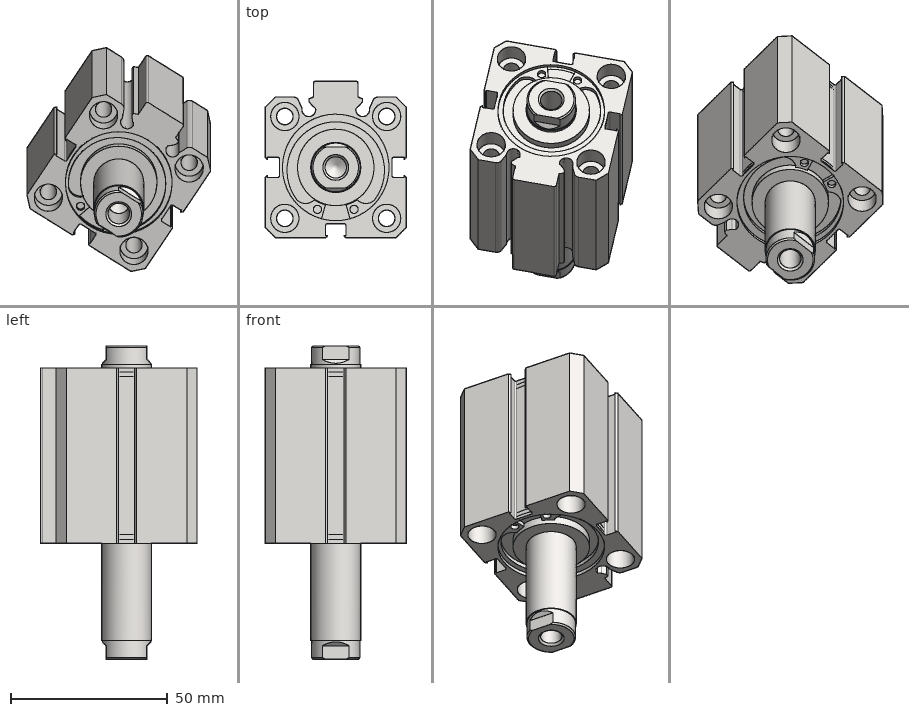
import cadquery as cq
import math


BODY_SIZE = 45.0
BODY_HALF = BODY_SIZE / 2
BODY_HEIGHT = 56.0
CORNER_CHAMFER = 3.3

MOUNT_OFFSET = 16.25
MOUNT_HOLE_DIAMETER = 5.2
COUNTERBORE_DIAMETER = 9.0
COUNTERBORE_DEPTH = 7.0

SLOT_HALF_WIDTH = 3.2
SLOT_MOUTH_HALF_WIDTH = 2.6
SLOT_FLOOR = 18.0
SLOT_LIP_LAND = 0.1
SLOT_CORNER_RADIUS = 0.5

RAIL_HALF_WIDTH = 7.1
RAIL_TOP = 27.5
RAIL_CORNER_RADIUS = 0.6
RAIL_FLANGE_HALF_WIDTH = 8.6
RAIL_FLANGE_TIP_LOW = 21.0
RAIL_FLANGE_TIP_HIGH = 21.9
RAIL_NECK_X = 7.4
RAIL_NECK_Y = 19.6

UNDERCUT_X = 8.6
UNDERCUT_Y = 18.4
UNDERCUT_RADIUS = 2.15
UNDERCUT_RAIL_ANGLE = 12.0
SHOULDER_X = 13.7
SHOULDER_ROUND_X = 12.0
SHOULDER_ROUND_Y = 21.7
SHOULDER_ROUND_RADIUS = 2.0
SHOULDER_FOOT_Y = 18.8

RECESS_RADIUS = 17.0
RECESS_DEPTH = 10.0
COLLAR_BOSS_RADIUS = 12.2
RING_DEPTH = 1.3
RING_THICKNESS = 1.5
RING_OUTER_RADIUS = 17.85
RING_INNER_RADIUS = 15.55
RING_INNER_SHIFT = 1.0
RING_GAP_HALF_ANGLE = 15.5
LUG_INNER_RADIUS = 12.4
LUG_HALF_SPAN_ANGLE = 33.5
LUG_ROOT_ANGLE = 37.0
LUG_ROOT_SAGITTA = 1.15
LUG_HOLE_RADIUS = 14.6
LUG_HOLE_ANGLE = 23.6
LUG_HOLE_DIAMETER = 2.6
FLANGE_DEPTH = RING_DEPTH + RING_THICKNESS

ROD_RADIUS = 8.0
ROD_TOP_REACH = 7.0
ROD_BOTTOM_REACH = 37.0
ROD_LENGTH = ROD_TOP_REACH + BODY_HEIGHT + ROD_BOTTOM_REACH
ROD_TIP_RADIUS = 7.75
ROD_TIP_LENGTH = 6.0
ROD_TIP_CHAMFER = 0.5
FLAT_HALF_WIDTH = 6.5
FLAT_LENGTH = 4.3
THREAD_HOLE_RADIUS = 3.4
THREAD_MOUTH_RADIUS = 4.1
THREAD_DEPTH = 13.0
DRILL_POINT_ANGLE = 118.0


def polar(radius, angle_from_minus_y):
    """Point at a radius and an angle measured from the -Y axis toward +X."""
    angle = math.radians(angle_from_minus_y)
    return radius * math.sin(angle), -radius * math.cos(angle)


def mirrored(point):
    """The same point on the other side of the YZ plane."""
    return -point[0], point[1]


def both_ends(bottom):
    """A bottom-end shape and its mirror copy at the top of the housing."""
    top = bottom.mirror("XY", (0, 0, BODY_HEIGHT / 2))
    return [bottom, top]


def rail_cutter():
    """Notch on the +X side of the rail, from the shoulder through the round undercut to the rail."""
    rail_angle = math.radians(180 - UNDERCUT_RAIL_ANGLE)
    rail_side = (
        UNDERCUT_X + UNDERCUT_RADIUS * math.cos(rail_angle),
        UNDERCUT_Y + UNDERCUT_RADIUS * math.sin(rail_angle),
    )
    foot_rise = SHOULDER_FOOT_Y - UNDERCUT_Y
    shoulder_foot = (UNDERCUT_X + math.sqrt(UNDERCUT_RADIUS**2 - foot_rise**2), SHOULDER_FOOT_Y)
    return (
        cq.Workplane("XY")
        .moveTo(SHOULDER_X, RAIL_TOP)
        .lineTo(SHOULDER_X, BODY_HALF)
        .radiusArc((SHOULDER_ROUND_X, SHOULDER_ROUND_Y), -SHOULDER_ROUND_RADIUS)
        .lineTo(*shoulder_foot)
        .threePointArc((UNDERCUT_X, UNDERCUT_Y - UNDERCUT_RADIUS), rail_side)
        .lineTo(RAIL_NECK_X, RAIL_NECK_Y)
        .lineTo(RAIL_FLANGE_HALF_WIDTH, RAIL_FLANGE_TIP_LOW)
        .lineTo(RAIL_FLANGE_HALF_WIDTH, RAIL_FLANGE_TIP_HIGH)
        .lineTo(RAIL_HALF_WIDTH, BODY_HALF)
        .lineTo(RAIL_HALF_WIDTH, RAIL_TOP)
        .close()
        .extrude(BODY_HEIGHT)
    )


def slot_cutter():
    """Sensor slot in the -Y face: flared mouth, thin lips, and a wider channel with rounded corners."""
    flare = SLOT_HALF_WIDTH - SLOT_MOUTH_HALF_WIDTH
    lip_outer = BODY_HALF - flare
    lip_inner = lip_outer - SLOT_LIP_LAND
    mouth = (
        cq.Workplane("XY")
        .polyline([
            (-SLOT_HALF_WIDTH, -BODY_HALF),
            (-SLOT_MOUTH_HALF_WIDTH, -lip_outer),
            (-SLOT_MOUTH_HALF_WIDTH, -lip_inner),
            (SLOT_MOUTH_HALF_WIDTH, -lip_inner),
            (SLOT_MOUTH_HALF_WIDTH, -lip_outer),
            (SLOT_HALF_WIDTH, -BODY_HALF),
        ])
        .close()
        .extrude(BODY_HEIGHT)
    )
    channel = (
        cq.Workplane("XY")
        .center(0, -(SLOT_FLOOR + lip_inner) / 2)
        .rect(2 * SLOT_HALF_WIDTH, lip_inner - SLOT_FLOOR)
        .extrude(BODY_HEIGHT)
        .edges("|Z and >Y")
        .fillet(SLOT_CORNER_RADIUS)
    )
    return channel.union(mouth)


def housing_block():
    """Square body with chamfered corners and the rail on its +Y face."""
    body = cq.Workplane("XY").rect(BODY_SIZE, BODY_SIZE).extrude(BODY_HEIGHT)
    body = body.edges("|Z").chamfer(CORNER_CHAMFER)
    rail = (
        cq.Workplane("XY")
        .center(0, RAIL_TOP / 2)
        .rect(2 * RAIL_HALF_WIDTH, RAIL_TOP)
        .extrude(BODY_HEIGHT)
        .edges("|Z and >Y")
        .fillet(RAIL_CORNER_RADIUS)
    )
    body = body.union(rail)
    notch = rail_cutter()
    return body.cut(notch).cut(notch.mirror("YZ"))


def cut_mount_holes(body):
    points = [(x, y) for x in (-MOUNT_OFFSET, MOUNT_OFFSET) for y in (-MOUNT_OFFSET, MOUNT_OFFSET)]
    holes = cq.Workplane("XY").pushPoints(points).circle(MOUNT_HOLE_DIAMETER / 2).extrude(BODY_HEIGHT)
    body = body.cut(holes)
    counterbores = (
        cq.Workplane("XY").pushPoints(points).circle(COUNTERBORE_DIAMETER / 2).extrude(COUNTERBORE_DEPTH)
    )
    for counterbore in both_ends(counterbores):
        body = body.cut(counterbore)
    return body


def make_housing():
    body = cut_mount_holes(housing_block())
    for angle in (-90, 0, 90):
        body = body.cut(slot_cutter().rotate((0, 0, 0), (0, 0, 1), angle))

    body = body.cut(cq.Workplane("XY").circle(ROD_RADIUS).extrude(BODY_HEIGHT))
    recess = cq.Workplane("XY").circle(RECESS_RADIUS).extrude(RECESS_DEPTH)
    groove = (
        cq.Workplane("XY").workplane(offset=RING_DEPTH).circle(RING_OUTER_RADIUS).extrude(RING_THICKNESS)
    )
    for pocket in both_ends(recess.union(groove)):
        body = body.cut(pocket)
    return body


def make_bottom_collar():
    """Guide collar: a flange seated in the recess and a boss flush with the housing end."""
    flange_thickness = RECESS_DEPTH - FLANGE_DEPTH
    flange = cq.Workplane("XY").workplane(offset=FLANGE_DEPTH).circle(RECESS_RADIUS).extrude(flange_thickness)
    boss = cq.Workplane("XY").circle(COLLAR_BOSS_RADIUS).extrude(FLANGE_DEPTH)
    rod_hole = cq.Workplane("XY").circle(ROD_RADIUS).extrude(RECESS_DEPTH)
    return flange.union(boss).cut(rod_hole)


def make_bottom_ring():
    """Open snap ring, thickest opposite its gap, with a drilled lug at each end."""
    gap_outer = polar(RING_OUTER_RADIUS, RING_GAP_HALF_ANGLE)
    gap_inner = polar(LUG_INNER_RADIUS, RING_GAP_HALF_ANGLE)
    lug_middle = polar(LUG_INNER_RADIUS, (RING_GAP_HALF_ANGLE + LUG_HALF_SPAN_ANGLE) / 2)
    lug_corner = polar(LUG_INNER_RADIUS, LUG_HALF_SPAN_ANGLE)

    root_angle = math.radians(LUG_ROOT_ANGLE)
    root = (
        RING_INNER_RADIUS * math.cos(root_angle),
        -RING_INNER_SHIFT - RING_INNER_RADIUS * math.sin(root_angle),
    )
    inner_top = (0, RING_INNER_RADIUS - RING_INNER_SHIFT)
    outer_top = (0, RING_OUTER_RADIUS)
    ring = (
        cq.Workplane("XY")
        .workplane(offset=RING_DEPTH)
        .moveTo(*mirrored(root))
        .threePointArc(inner_top, root)
        .sagittaArc(lug_corner, LUG_ROOT_SAGITTA)
        .threePointArc(lug_middle, gap_inner)
        .lineTo(*gap_outer)
        .threePointArc(outer_top, mirrored(gap_outer))
        .lineTo(*mirrored(gap_inner))
        .threePointArc(mirrored(lug_middle), mirrored(lug_corner))
        .sagittaArc(mirrored(root), LUG_ROOT_SAGITTA)
        .close()
        .extrude(RING_THICKNESS)
    )
    hole = polar(LUG_HOLE_RADIUS, LUG_HOLE_ANGLE)
    holes = (
        cq.Workplane("XY")
        .workplane(offset=RING_DEPTH)
        .pushPoints([hole, mirrored(hole)])
        .circle(LUG_HOLE_DIAMETER / 2)
        .extrude(RING_THICKNESS)
    )
    return ring.cut(holes)


def make_rod():
    """Rod through both collars, with wrench flats and a countersunk thread core hole at each end."""
    bottom = -ROD_BOTTOM_REACH
    rod = cq.Workplane("XY").workplane(offset=bottom).circle(ROD_RADIUS).extrude(ROD_LENGTH)
    tip_profile_points = [
        (ROD_TIP_RADIUS - ROD_TIP_CHAMFER, 0),
        (ROD_TIP_RADIUS, ROD_TIP_CHAMFER),
        (ROD_TIP_RADIUS, ROD_TIP_LENGTH),
        (ROD_RADIUS, ROD_TIP_LENGTH),
        (ROD_RADIUS, 0),
    ]
    tip_relief = cq.Workplane("XZ").polyline(tip_profile_points).close().revolve(360, (0, 0), (0, 1))

    slope = ROD_RADIUS - FLAT_HALF_WIDTH
    flat = (
        cq.Workplane("YZ")
        .polyline([
            (FLAT_HALF_WIDTH, 0),
            (FLAT_HALF_WIDTH, FLAT_LENGTH),
            (ROD_RADIUS, FLAT_LENGTH + slope),
            (ROD_RADIUS, 0),
        ])
        .close()
        .extrude(ROD_RADIUS, both=True)
    )
    countersink = THREAD_MOUTH_RADIUS - THREAD_HOLE_RADIUS
    point_depth = THREAD_HOLE_RADIUS / math.tan(math.radians(DRILL_POINT_ANGLE / 2))
    bore = (
        cq.Workplane("XZ")
        .polyline([
            (0, 0),
            (THREAD_MOUTH_RADIUS, 0),
            (THREAD_HOLE_RADIUS, countersink),
            (THREAD_HOLE_RADIUS, THREAD_DEPTH),
            (0, THREAD_DEPTH + point_depth),
        ])
        .close()
        .revolve(360, (0, 0), (0, 1))
    )
    for cutter in (tip_relief, flat, flat.mirror("XZ"), bore):
        bottom_cutter = cutter.translate((0, 0, bottom))
        top_cutter = bottom_cutter.mirror("XY", (0, 0, bottom + ROD_LENGTH / 2))
        rod = rod.cut(bottom_cutter).cut(top_cutter)
    return rod


housing = make_housing()
rod = make_rod()
collars = both_ends(make_bottom_collar())
snap_rings = both_ends(make_bottom_ring())

result = cq.Compound.makeCompound([
    housing.val(),
    rod.val(),
    *[collar.val() for collar in collars],
    *[ring.val() for ring in snap_rings],
])